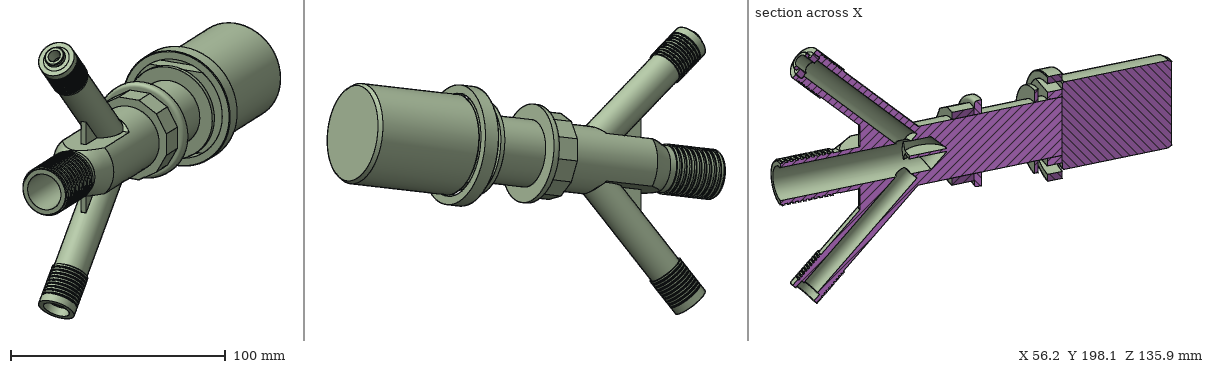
import cadquery as cq
import math


FIRST_RIDGE = 1.8
LAST_RIDGE = 26.1
CONE_FRONT = 30.1
CONE_BACK = 40.2
NUT_FRONT = 86.8
GASKET_FRONT = 98.0
GASKET_BACK = 101.8
WASHER_FRONT = 128.4
WASHER_BACK = 130.5
FLANGE_FRONT = 135.1
FLANGE_BACK = 142.6
OVERALL_LENGTH = 198.1
OVERALL_HEIGHT = 135.9
RIDGE_HEIGHT = 0.7

TUBE_RADIUS = 15.8
SPOUT_RADIUS = 11.0
SPOUT_BORE_RADIUS = 8.7
SPOUT_BORE_DEPTH = 65.4
SPOUT_RIDGES = 10
SPOUT_RIDGE_PITCH = (LAST_RIDGE - FIRST_RIDGE) / (SPOUT_RIDGES - 1)
SPOUT_RIDGE_RADIUS = SPOUT_RADIUS + RIDGE_HEIGHT
SPOUT_RIDGE_WIDTH = 1.4
FLAT_HEIGHT = 11.3
RIB_THICKNESS = 2.5
RIB_ROOT_DEPTH = 1.2

BRANCH_ANGLE = 45.0
BRANCH_ORIGIN_Y = 74.0
BRANCH_RADIUS = 8.1
COLLAR_RADIUS = BRANCH_RADIUS + RIDGE_HEIGHT
BRANCH_LENGTH = (
    OVERALL_HEIGHT / 2 - COLLAR_RADIUS * math.cos(math.radians(BRANCH_ANGLE))
) / math.sin(math.radians(BRANCH_ANGLE))
BRANCH_BORE_RADIUS = 4.8
BRANCH_BORE_START = 11.9
SOCKET_RADIUS = 6.3
SOCKET_DEPTH = 4.2
COLLAR_LENGTH = 4.0
BRANCH_RIDGES = 9
BRANCH_RIDGE_PITCH = 1.75
BRANCH_RIDGE_WIDTH = 1.09
PORT_RADIUS = 7.7
SEPTUM_THICKNESS = 1.8

PLUG_NECK_RADIUS = 3.8
PLUG_NECK_LENGTH = 0.9
PLUG_HEAD_RADIUS = 4.8
PLUG_HEAD_LENGTH = 2.2
PLUG_HOLE_RADIUS = 3.0
PLUG_CHAMFER = 0.4

NUT_SIDES = 12
NUT_ACROSS_FLATS = 39.2
GASKET_RADIUS = 23.2
GASKET_ROUND = 1.8
WASHER_RADIUS = 22.4
FLANGE_RADIUS = 28.1
FLANGE_CHAMFER = 0.4
LOCK_RADIUS = 24.2
LOCK_FLAT_HEIGHT = 19.8
CAP_RADIUS = 23.5
CAP_CHAMFER_LENGTH = 2.0
CAP_CHAMFER_DEPTH = 1.2
CAP_FOOT_CHAMFER = 0.8

UPPER = 1
LOWER = -1


def cylinder_y(radius, start, end):
    """Cylinder on the main axis between two stations."""
    return cq.Workplane(cq.Solid.makeCylinder(
        radius, end - start, cq.Vector(0, start, 0), cq.Vector(0, 1, 0)))


def ring_y(radius, start, end, hole_radius=TUBE_RADIUS):
    """Ring on the main axis; by default it fits round the main tube."""
    return cylinder_y(radius, start, end).cut(cylinder_y(hole_radius, start, end))


def cylinder_on_branch(side, radius, start, end):
    """Cylinder on a branch axis between two distances from the main axis."""
    angle = math.radians(BRANCH_ANGLE)
    along = cq.Vector(0, -math.cos(angle), side * math.sin(angle))
    base = cq.Vector(0, BRANCH_ORIGIN_Y, 0) + along * start
    return cq.Workplane(cq.Solid.makeCylinder(radius, end - start, base, along))


def side_profile(points, thickness):
    """Plate with the given (y, z) outline, centred on the YZ plane."""
    return cq.Workplane("YZ").polyline(points).close().extrude(thickness / 2, both=True)



def tube_and_spout():
    profile = [
        (0, 0),
        (SPOUT_RADIUS, 0),
        (SPOUT_RADIUS, CONE_FRONT),
        (TUBE_RADIUS, CONE_BACK),
        (TUBE_RADIUS, FLANGE_BACK),
        (0, FLANGE_BACK),
    ]
    return cq.Workplane("XY").polyline(profile).close().revolve(360, (0, 0, 0), (0, 1, 0))


def flat_cutter(side):
    """Removes the tube above a flat; its end is square to the branch, where the branch leaves the tube."""
    angle = math.radians(BRANCH_ANGLE)
    branch_rear_y = BRANCH_ORIGIN_Y + BRANCH_RADIUS / math.sin(angle) - TUBE_RADIUS / math.tan(angle)
    top_z = 2 * TUBE_RADIUS

    def end_y(z):
        return branch_rear_y + (z - TUBE_RADIUS) * math.tan(angle)

    outline = [
        (0, side * FLAT_HEIGHT),
        (end_y(FLAT_HEIGHT), side * FLAT_HEIGHT),
        (end_y(top_z), side * top_z),
        (0, side * top_z),
    ]
    return side_profile(outline, 2 * TUBE_RADIUS)


def spout_ridges():
    ridges = []
    for index in range(SPOUT_RIDGES):
        centre = FIRST_RIDGE + index * SPOUT_RIDGE_PITCH
        start = centre - SPOUT_RIDGE_WIDTH / 2
        ridges.append(ring_y(SPOUT_RIDGE_RADIUS, start, start + SPOUT_RIDGE_WIDTH, SPOUT_BORE_RADIUS))
    return ridges


def branch(side):
    pipe = cylinder_on_branch(side, BRANCH_RADIUS, 0, BRANCH_LENGTH)
    collar_start = BRANCH_LENGTH - COLLAR_LENGTH
    pipe = pipe.union(cylinder_on_branch(side, COLLAR_RADIUS, collar_start, BRANCH_LENGTH))
    for index in range(BRANCH_RIDGES):
        start = collar_start - (index + 1) * BRANCH_RIDGE_PITCH
        ridge = cylinder_on_branch(side, COLLAR_RADIUS, start, start + BRANCH_RIDGE_WIDTH)
        pipe = pipe.union(ridge)
    return pipe


def rib(side):
    """Thin web that fills the corner between a flat and the underside of its branch."""
    angle = math.radians(BRANCH_ANGLE)
    axis_z = (BRANCH_ORIGIN_Y - CONE_BACK) * math.tan(angle)
    back_y = BRANCH_ORIGIN_Y - FLAT_HEIGHT / math.tan(angle)
    outline = [
        (CONE_BACK, FLAT_HEIGHT - RIB_ROOT_DEPTH),
        (back_y, FLAT_HEIGHT - RIB_ROOT_DEPTH),
        (back_y, FLAT_HEIGHT),
        (CONE_BACK, axis_z - BRANCH_RADIUS / math.cos(angle)),
    ]
    return side_profile([(y, side * z) for y, z in outline], RIB_THICKNESS)


def port(side):
    """Inclined end of the spout bore on one side of the septum."""
    inclined = cylinder_on_branch(side, PORT_RADIUS, -BRANCH_LENGTH, BRANCH_LENGTH)
    bore = cylinder_y(SPOUT_BORE_RADIUS, 0, FLANGE_BACK)
    half = side_profile([
        (0, side * SEPTUM_THICKNESS / 2),
        (FLANGE_BACK, side * SEPTUM_THICKNESS / 2),
        (FLANGE_BACK, side * TUBE_RADIUS),
        (0, side * TUBE_RADIUS),
    ], 2 * TUBE_RADIUS)
    return inclined.intersect(bore).intersect(half)


def make_body():
    body = tube_and_spout()
    for side in (UPPER, LOWER):
        body = body.cut(flat_cutter(side))
    for ridge in spout_ridges():
        body = body.union(ridge)
    for side in (UPPER, LOWER):
        body = body.union(branch(side)).union(rib(side))
    body = body.cut(cylinder_y(SPOUT_BORE_RADIUS, 0, SPOUT_BORE_DEPTH))
    for side in (UPPER, LOWER):
        body = body.cut(port(side))
        body = body.cut(cylinder_on_branch(side, BRANCH_BORE_RADIUS, BRANCH_BORE_START, BRANCH_LENGTH))
        socket_start = BRANCH_LENGTH - SOCKET_DEPTH
        body = body.cut(cylinder_on_branch(side, SOCKET_RADIUS, socket_start, BRANCH_LENGTH))
    return body



def make_plug():
    socket_start = BRANCH_LENGTH - SOCKET_DEPTH
    neck_end = BRANCH_LENGTH + PLUG_NECK_LENGTH
    head_end = neck_end + PLUG_HEAD_LENGTH
    plug = cylinder_on_branch(UPPER, SOCKET_RADIUS, socket_start, BRANCH_LENGTH)
    plug = plug.union(cylinder_on_branch(UPPER, PLUG_NECK_RADIUS, socket_start, neck_end))
    head = cylinder_on_branch(UPPER, PLUG_HEAD_RADIUS, neck_end, head_end)
    plug = plug.union(head.faces("<Y").edges().chamfer(PLUG_CHAMFER))
    return plug.cut(cylinder_on_branch(UPPER, PLUG_HOLE_RADIUS, socket_start, head_end))



def make_nut():
    corner_diameter = NUT_ACROSS_FLATS / math.cos(math.pi / NUT_SIDES)
    half_facet = 180 / NUT_SIDES
    nut = (
        cq.Workplane("XZ", origin=(0, NUT_FRONT, 0))
        .polygon(NUT_SIDES, corner_diameter)
        .extrude(NUT_FRONT - GASKET_FRONT)
        .rotate((0, 0, 0), (0, 1, 0), half_facet)
    )
    return nut.cut(cylinder_y(TUBE_RADIUS, NUT_FRONT, GASKET_FRONT))


def make_gasket():
    disc = cylinder_y(GASKET_RADIUS, GASKET_FRONT, GASKET_BACK)
    disc = disc.faces("<Y").edges().fillet(GASKET_ROUND)
    return disc.cut(cylinder_y(TUBE_RADIUS, GASKET_FRONT, GASKET_BACK))


def make_washer():
    return ring_y(WASHER_RADIUS, WASHER_FRONT, WASHER_BACK)


def make_flange():
    disc = cylinder_y(FLANGE_RADIUS, FLANGE_FRONT, FLANGE_BACK)
    disc = disc.faces("<Y").edges().chamfer(FLANGE_CHAMFER)
    return disc.cut(cylinder_y(LOCK_RADIUS, FLANGE_FRONT, FLANGE_BACK))


def make_lock_disc():
    """Disc inside the flange, with a flat at the top and at the bottom."""
    length = FLANGE_BACK - FLANGE_FRONT
    between_flats = cq.Workplane("XY").box(
        2 * LOCK_RADIUS, length, 2 * LOCK_FLAT_HEIGHT
    ).translate((0, FLANGE_FRONT + length / 2, 0))
    return ring_y(LOCK_RADIUS, FLANGE_FRONT, FLANGE_BACK).intersect(between_flats)


def make_cap():
    profile = [
        (0, FLANGE_BACK),
        (CAP_RADIUS - CAP_FOOT_CHAMFER, FLANGE_BACK),
        (CAP_RADIUS, FLANGE_BACK + CAP_FOOT_CHAMFER),
        (CAP_RADIUS, OVERALL_LENGTH - CAP_CHAMFER_LENGTH),
        (CAP_RADIUS - CAP_CHAMFER_DEPTH, OVERALL_LENGTH),
        (0, OVERALL_LENGTH),
    ]
    return cq.Workplane("XY").polyline(profile).close().revolve(360, (0, 0, 0), (0, 1, 0))


body = make_body()
plug = make_plug()
nut = make_nut()
gasket = make_gasket()
washer = make_washer()
flange = make_flange()
lock_disc = make_lock_disc()
cap = make_cap()

result = cq.Compound.makeCompound([
    body.val(),
    plug.val(),
    nut.val(),
    gasket.val(),
    washer.val(),
    flange.val(),
    lock_disc.val(),
    cap.val(),
])